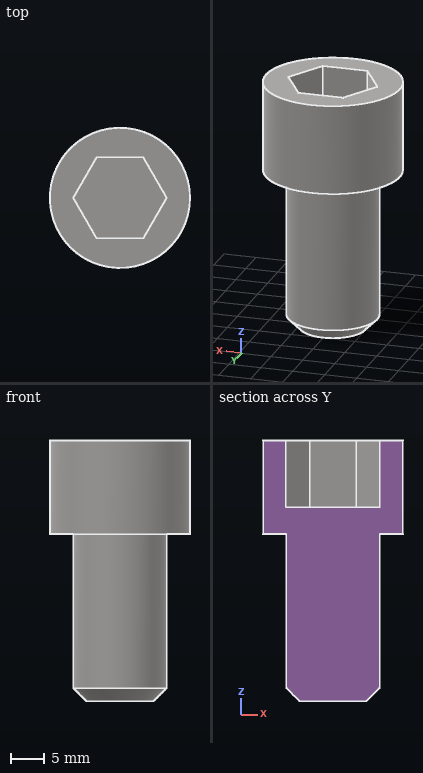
import cadquery as cq
import math

total_length = 39.0
head_diameter = 21.0
shank_diameter = 14.0
head_height = shank_diameter
shank_length = total_length - head_height
tip_chamfer = 2.0

socket_across_flats = 12.1
socket_across_corners = socket_across_flats / math.cos(math.pi / 6)
socket_depth = 10.0

shank = (
    cq.Workplane("XY")
    .circle(shank_diameter / 2)
    .extrude(shank_length)
    .faces("<Z")
    .chamfer(tip_chamfer)
)

head = (
    cq.Workplane("XY")
    .workplane(offset=shank_length)
    .circle(head_diameter / 2)
    .extrude(head_height)
)

socket = (
    cq.Workplane("XY")
    .workplane(offset=total_length)
    .polygon(6, socket_across_corners)
    .extrude(-socket_depth)
)

result = shank.union(head).cut(socket)